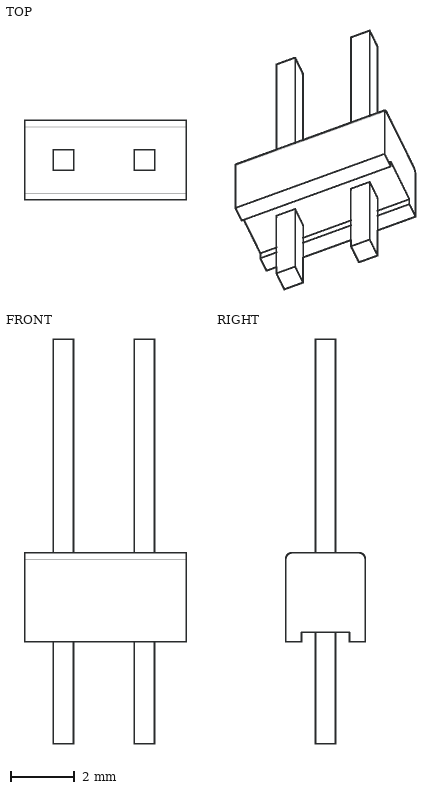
import cadquery as cq

pin_count = 2
pitch = 2.54
pin_width = 0.64
pin_length = 12.7
pin_tail = 3.2
first_pin_inset = 1.22

housing_length = pin_count * pitch
housing_depth = 2.5
housing_height = 2.8
top_edge_radius = 0.2

channel_width = 1.5
channel_height = 0.3


def make_housing():
    """Block with rounded long top edges and a lengthwise channel underneath."""
    block = cq.Workplane("XY").box(
        housing_length, housing_depth, housing_height, centered=(True, True, False)
    )
    rounded_block = block.faces(">Z").edges("|X").fillet(top_edge_radius)
    channel = cq.Workplane("XY").box(
        housing_length, channel_width, channel_height, centered=(True, True, False)
    )
    return rounded_block.cut(channel)


def make_pin(index):
    """Square pin at the given position in the row."""
    pin_x = -housing_length / 2 + first_pin_inset + index * pitch
    pin = cq.Workplane("XY").box(pin_width, pin_width, pin_length, centered=(True, True, False))
    return pin.translate((pin_x, 0, -pin_tail))


result = make_housing()
for pin_index in range(pin_count):
    result = result.union(make_pin(pin_index))